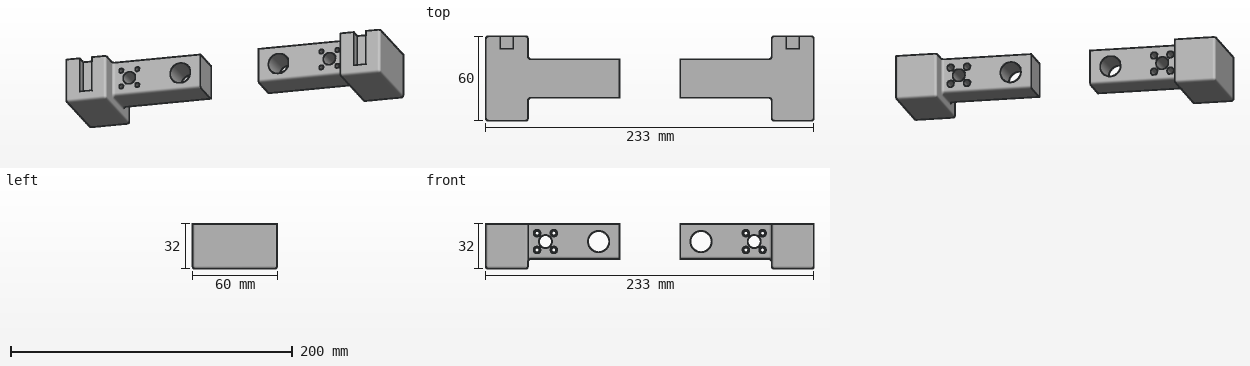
import cadquery as cq

overall_length = 233.0
head_thickness = 30.0
head_width = 60.0
head_height = 32.0
arm_reach = 95.0
arm_width = 27.5
arm_height = 25.0
edge_radius = 2.0

notch_size = 9.0
notch_depth = arm_height

hole_height = head_height - arm_height / 2
tip_hole_diameter = 15.0
tip_hole_to_tip = 15.0
tip_hole_x = arm_reach - tip_hole_to_tip
centre_hole_diameter = 9.0
centre_hole_x = 42.5
screw_spacing = 11.9
screw_diameter = 3.3
screw_counterbore_diameter = 5.0
screw_counterbore_depth = arm_width / 2


def make_head():
    """Block with rounded upright and bottom edges, and a sharp top."""
    head = cq.Workplane("XY").box(head_thickness, head_width, head_height, centered=(False, True, False))
    return head.edges("|Z or <Z").fillet(edge_radius)


def make_arm():
    """Bar along X, rounded along its two long bottom edges."""
    arm = (
        cq.Workplane("XY")
        .workplane(offset=head_height - arm_height)
        .center(head_thickness / 2, 0)
        .box(arm_reach - head_thickness / 2, arm_width, arm_height, centered=(False, True, False))
    )
    return arm.edges("|X and <Z").fillet(edge_radius)


def round_junction(body):
    """Fillet the inner corner where the sides and underside of the arm leave the head."""
    margin = edge_radius / 2
    corner = cq.selectors.BoxSelector(
        (head_thickness - margin, -arm_width / 2 - margin, head_height - arm_height - margin),
        (head_thickness + margin, arm_width / 2 + margin, head_height - margin),
    )
    return body.edges(corner).edges("not |X").fillet(edge_radius)


def cut_notch(body):
    """Square blind notch centred on the thickness of the head, open at the back and top."""
    notch = cq.Workplane("XY").box(notch_size, notch_size, notch_depth, centered=(True, False, False))
    notch = notch.translate((head_thickness / 2, head_width / 2 - notch_size, head_height - notch_depth))
    return body.cut(notch)


def cross_hole(x, z, diameter, depth):
    """Cylinder along Y that starts at the front side of the arm."""
    start = cq.Vector(x, -arm_width / 2, z)
    return cq.Solid.makeCylinder(diameter / 2, depth, start, cq.Vector(0, 1, 0))


def drill_arm(body):
    """Tip hole, and a centre hole within a square of four counterbored screw holes."""
    body = body.cut(cross_hole(tip_hole_x, hole_height, tip_hole_diameter, arm_width))
    body = body.cut(cross_hole(centre_hole_x, hole_height, centre_hole_diameter, arm_width))
    for side in (-1, 1):
        for level in (-1, 1):
            x = centre_hole_x + side * screw_spacing / 2
            z = hole_height + level * screw_spacing / 2
            body = body.cut(cross_hole(x, z, screw_diameter, arm_width))
            body = body.cut(cross_hole(x, z, screw_counterbore_diameter, screw_counterbore_depth))
    return body


def make_left_arm():
    """Complete body with the outer face of its head at X = 0."""
    body = make_head().union(make_arm())
    body = round_junction(body)
    body = cut_notch(body)
    return drill_arm(body)


left_arm = make_left_arm().translate((-overall_length / 2, 0, 0))
right_arm = left_arm.mirror("YZ")

result = cq.Compound.makeCompound([left_arm.val(), right_arm.val()])